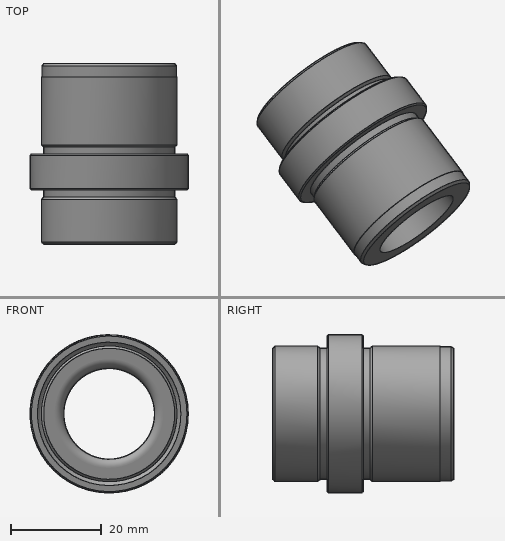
import cadquery as cq
import math

length = 40
body_radius = 15.0
bore_radius = 10
bore_rounding = 2

collar_diameter = 35.0
collar_radius = collar_diameter / 2
collar_front = 12
collar_back = 20
collar_chamfer = 0.3

groove_radius = 14.5
groove_depth = body_radius - groove_radius
groove_width = 1.5

undercut_radius = 15.85
root_rounding = 0.45

front_chamfer = 0.5
shoulder_chamfer = 0.6
lead_radius = 14.9
lead_length = 3.0
lead_chamfer_length = 0.6
lead_chamfer_depth = 0.4

front_shoulder = collar_front - groove_width
back_shoulder = collar_back + groove_width
lead_start = length - lead_length

root_diagonal = root_rounding * math.sqrt(0.5)
root_center_radius = groove_radius + root_rounding
cone_inner_radius = root_center_radius + root_diagonal
cone_inner_y = collar_front + undercut_radius - cone_inner_radius
root_center_y = cone_inner_y - root_diagonal
root_middle = (
    root_center_radius - root_rounding * math.sin(math.pi / 8),
    root_center_y + root_rounding * math.cos(math.pi / 8),
)

half_section = (
    cq.Workplane("XY")
    .moveTo(bore_radius + bore_rounding, 0)
    .lineTo(body_radius - front_chamfer, 0)
    .lineTo(body_radius, front_chamfer)
    .lineTo(body_radius, front_shoulder - shoulder_chamfer)
    .lineTo(groove_radius, front_shoulder)
    .lineTo(groove_radius, root_center_y)
    .threePointArc(root_middle, (cone_inner_radius, cone_inner_y))
    .lineTo(undercut_radius, collar_front)
    .lineTo(collar_radius - collar_chamfer, collar_front)
    .lineTo(collar_radius, collar_front + collar_chamfer)
    .lineTo(collar_radius, collar_back - collar_chamfer)
    .lineTo(collar_radius - collar_chamfer, collar_back)
    .lineTo(groove_radius, collar_back)
    .lineTo(groove_radius, back_shoulder)
    .lineTo(body_radius, back_shoulder + groove_depth)
    .lineTo(body_radius, lead_start)
    .lineTo(lead_radius, lead_start)
    .lineTo(lead_radius, length - lead_chamfer_length)
    .lineTo(lead_radius - lead_chamfer_depth, length)
    .lineTo(bore_radius, length)
    .lineTo(bore_radius, bore_rounding)
    .radiusArc((bore_radius + bore_rounding, 0), -bore_rounding)
    .close()
)

result = half_section.revolve(360, (0, 0, 0), (0, 1, 0)).translate((0, -length / 2, 0))